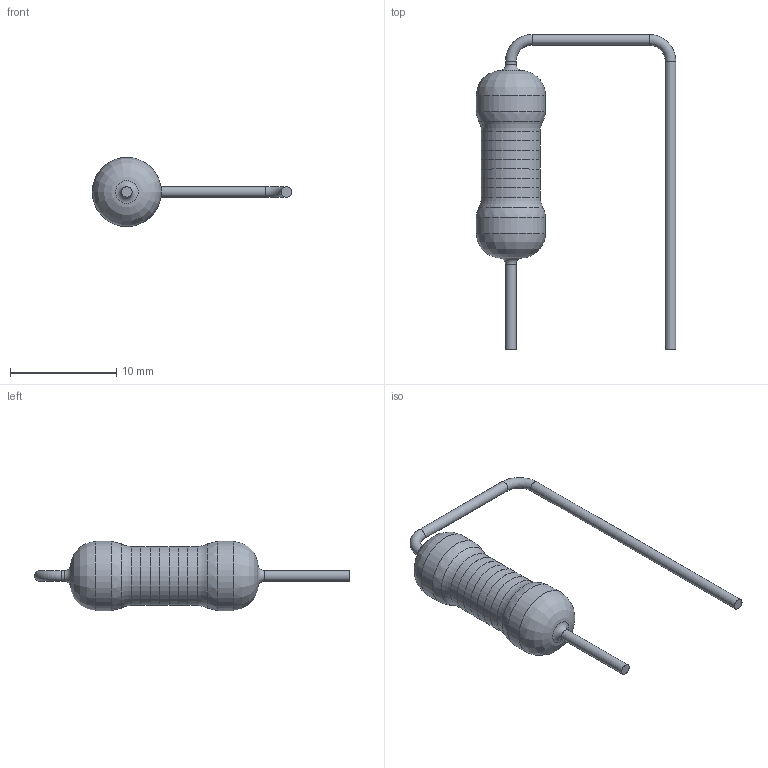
import cadquery as cq
import math

wire_diameter = 1.0
lead_pitch = 15.0
overall_length = 29.6
bend_radius = 2.0

body_length = 18.8
cap_diameter = 6.5
dome_radius = 2.3
root_fillet = 0.6
root_to_bend = 0.3

waist_diameter = 5.53
band_diameter = 5.54
waist_length = 6.2
flare_length = 1.9
band_count = 3

wire_radius = wire_diameter / 2
cap_radius = cap_diameter / 2
waist_radius = waist_diameter / 2
band_width = waist_length / (2 * band_count + 1)
crossbar_y = overall_length - wire_radius
bend_start_y = crossbar_y - bend_radius
body_center_y = bend_start_y - root_to_bend - body_length / 2


def arc_point(center_x, center_y, radius, angle):
    return (center_x + radius * math.cos(angle), center_y + radius * math.sin(angle))


def make_end_cap():
    """Half of the body, from its middle at Y = 0 to the lead root on the +Y side."""
    flare_start = waist_length / 2
    flare_end = flare_start + flare_length
    body_end = body_length / 2

    radial_step = cap_radius - waist_radius
    flare_arc_radius = (flare_length**2 + radial_step**2) / (4 * radial_step)
    flare_half_angle = math.asin(flare_length / 2 / flare_arc_radius) / 2
    arc_mid_rise = flare_arc_radius * (1 - math.cos(flare_half_angle))
    arc_mid_run = flare_arc_radius * math.sin(flare_half_angle)

    inner_arc_mid = (waist_radius + arc_mid_rise, flare_start + arc_mid_run)
    flare_middle = (waist_radius + radial_step / 2, flare_start + flare_length / 2)
    outer_arc_mid = (cap_radius - arc_mid_rise, flare_end - arc_mid_run)

    dome_arc_x = cap_radius - dome_radius
    fillet_arc_x = wire_radius + root_fillet
    arc_center_distance = dome_radius + root_fillet
    root_angle = math.acos((fillet_arc_x - dome_arc_x) / arc_center_distance)
    dome_start = body_end - arc_center_distance * math.sin(root_angle)
    root_edge = arc_point(dome_arc_x, dome_start, dome_radius, root_angle)
    dome_mid = arc_point(dome_arc_x, dome_start, dome_radius, root_angle / 2)
    root_mid = arc_point(fillet_arc_x, body_end, root_fillet, math.pi + root_angle / 2)

    profile = (
        cq.Workplane("XY")
        .moveTo(0, 0)
        .lineTo(waist_radius, 0)
        .lineTo(waist_radius, flare_start)
        .threePointArc(inner_arc_mid, flare_middle)
        .threePointArc(outer_arc_mid, (cap_radius, flare_end))
        .lineTo(cap_radius, dome_start)
        .threePointArc(dome_mid, root_edge)
        .threePointArc(root_mid, (wire_radius, body_end))
        .lineTo(0, body_end)
        .close()
    )
    return profile.revolve(360, (0, 0), (0, 1))


def make_color_band(index):
    """Raised ring around the waist, with the middle of the body at Y = 0."""
    band_start = -waist_length / 2 + (2 * index + 1) * band_width
    return (
        cq.Workplane("XZ", origin=(0, band_start, 0))
        .circle(band_diameter / 2)
        .extrude(-band_width)
    )


def make_body():
    end_cap = make_end_cap()
    body = end_cap.union(end_cap.mirror("XZ"))
    for index in range(band_count):
        body = body.union(make_color_band(index))
    return body.translate((0, body_center_y, 0))


def make_wire():
    """Lead that runs through the body, across to the far side and back."""
    path = (
        cq.Workplane("XY")
        .moveTo(0, 0)
        .lineTo(0, bend_start_y)
        .radiusArc((bend_radius, crossbar_y), bend_radius)
        .lineTo(lead_pitch - bend_radius, crossbar_y)
        .radiusArc((lead_pitch, bend_start_y), bend_radius)
        .lineTo(lead_pitch, 0)
    )
    return cq.Workplane("XZ").circle(wire_radius).sweep(path)


result = make_body().union(make_wire())